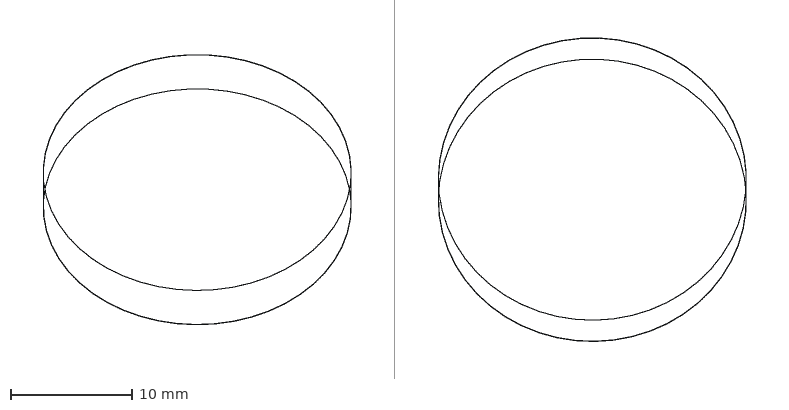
import cadquery as cq

diameter = 25.4
overall_height = 5.8
bottom_sag = 1.4
top_sag = 1.75

radius = diameter / 2


def sphere_radius(sag):
    """Radius of the sphere whose cap spans the lens diameter with this sag."""
    return (radius**2 + sag**2) / (2 * sag)


blank = cq.Workplane("XY").circle(radius).extrude(overall_height)

bottom_radius = sphere_radius(bottom_sag)
bottom_ball = cq.Workplane("XY").sphere(bottom_radius).translate((0, 0, bottom_radius))

top_radius = sphere_radius(top_sag)
top_center = overall_height - top_sag + top_radius
top_ball = cq.Workplane("XY").sphere(top_radius).translate((0, 0, top_center))

result = blank.intersect(bottom_ball).cut(top_ball)